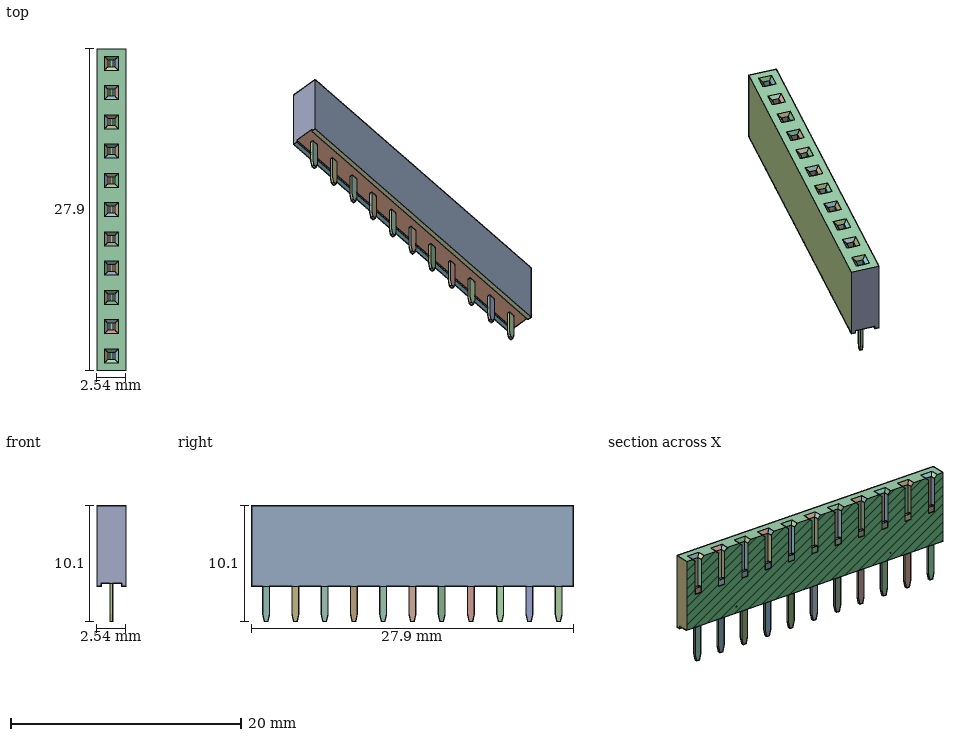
import cadquery as cq

contact_count = 11
housing_length = 27.95
pitch = housing_length / contact_count
housing_width = pitch
total_height = 10.1
pin_drop = 3.07
housing_height = total_height - pin_drop

foot_width = 0.4
channel_depth = 0.25
channel_width = housing_width - 2 * foot_width

pin_thickness = 0.25
pin_width = 0.61
tip_width = 0.3
tip_length = 0.65

mouth_size = 1.2
well_size = pin_width
funnel_depth = (mouth_size - well_size) / 2
socket_depth = housing_height / 2
blade_height = 0.55

well_floor = housing_height - socket_depth
blade_top = well_floor + blade_height
contact_positions = [(i - (contact_count - 1) / 2) * pitch for i in range(contact_count)]


def make_housing():
    block = cq.Workplane("XY").box(
        housing_width, housing_length, housing_height, centered=(True, True, False)
    )
    channel = cq.Workplane("XY").box(
        channel_width, housing_length, channel_depth, centered=(True, True, False)
    )
    return block.cut(channel)


def make_socket(y):
    funnel = (
        cq.Workplane("XY", origin=(0, y, housing_height))
        .rect(mouth_size, mouth_size)
        .workplane(offset=-funnel_depth)
        .rect(well_size, well_size)
        .loft(ruled=True)
    )
    well = (
        cq.Workplane("XY", origin=(0, y, well_floor))
        .rect(well_size, well_size)
        .extrude(socket_depth - funnel_depth)
    )
    return funnel.union(well)


def make_pin(y):
    """Flat pin whose lower end narrows to a blunt tip."""
    outline = [
        (-pin_width / 2, blade_top),
        (-pin_width / 2, tip_length - pin_drop),
        (-tip_width / 2, -pin_drop),
        (tip_width / 2, -pin_drop),
        (pin_width / 2, tip_length - pin_drop),
        (pin_width / 2, blade_top),
    ]
    return (
        cq.Workplane("YZ", origin=(0, y, 0))
        .polyline(outline)
        .close()
        .extrude(pin_thickness / 2, both=True)
    )


result = make_housing()
for position in contact_positions:
    result = result.cut(make_socket(position)).union(make_pin(position))